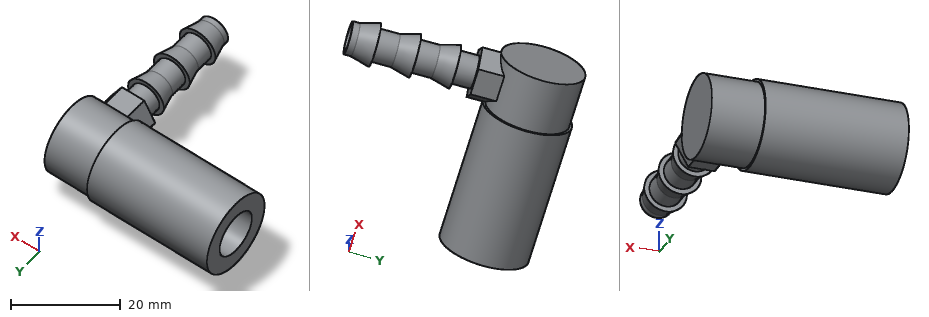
import cadquery as cq
import math

overall_length = 38.0
sleeve_length = 27.75
sleeve_diameter = 17.0
collar_diameter = 16.0
socket_diameter = 9.5
socket_depth = sleeve_length

hex_sides = 6
hex_across_flats = 8.9
hex_across_corners = hex_across_flats / math.cos(math.pi / hex_sides)
hex_end_reach = 11.55
hex_corner_inset = 0.02
stem_x = overall_length - hex_corner_inset - hex_across_corners / 2

stem_end_reach = 35.5
stem_diameter = 6.3
barb_diameter = 8.3
barb_length = 3.75
barb_pitch = 7.6
barb_count = 3
first_barb_reach = 15.3

passage_diameter = 5.0


def cylinder_along_x(diameter, start, end):
    return cq.Workplane("YZ").workplane(offset=start).circle(diameter / 2).extrude(end - start)


def make_body():
    sleeve = cylinder_along_x(sleeve_diameter, 0, sleeve_length)
    collar = cylinder_along_x(collar_diameter, 0, overall_length)
    return sleeve.union(collar)


def stem_plane(reach=0):
    """XZ plane whose normal points along -Y, centred on the stem axis."""
    return cq.Workplane("XZ", origin=(stem_x, -reach, 0))


def make_hexagon():
    return stem_plane().polygon(hex_sides, hex_across_corners).extrude(hex_end_reach)


def make_barb(reach):
    """Cone frustum, widest nearest the body, narrowing to the stem diameter."""
    return (
        stem_plane(reach)
        .circle(barb_diameter / 2)
        .workplane(offset=barb_length)
        .circle(stem_diameter / 2)
        .loft(ruled=True)
    )


def make_stem():
    stem = stem_plane().circle(stem_diameter / 2).extrude(stem_end_reach)
    for index in range(barb_count):
        stem = stem.union(make_barb(first_barb_reach + index * barb_pitch))
    return stem


def make_socket():
    return cylinder_along_x(socket_diameter, 0, socket_depth)


def make_passage():
    path = cq.Workplane("XY").polyline([(0, 0), (stem_x, 0), (stem_x, -stem_end_reach)])
    return cq.Workplane("YZ").circle(passage_diameter / 2).sweep(path, transition="right")


outside = make_body().union(make_hexagon()).union(make_stem())
result = outside.cut(make_socket()).cut(make_passage())